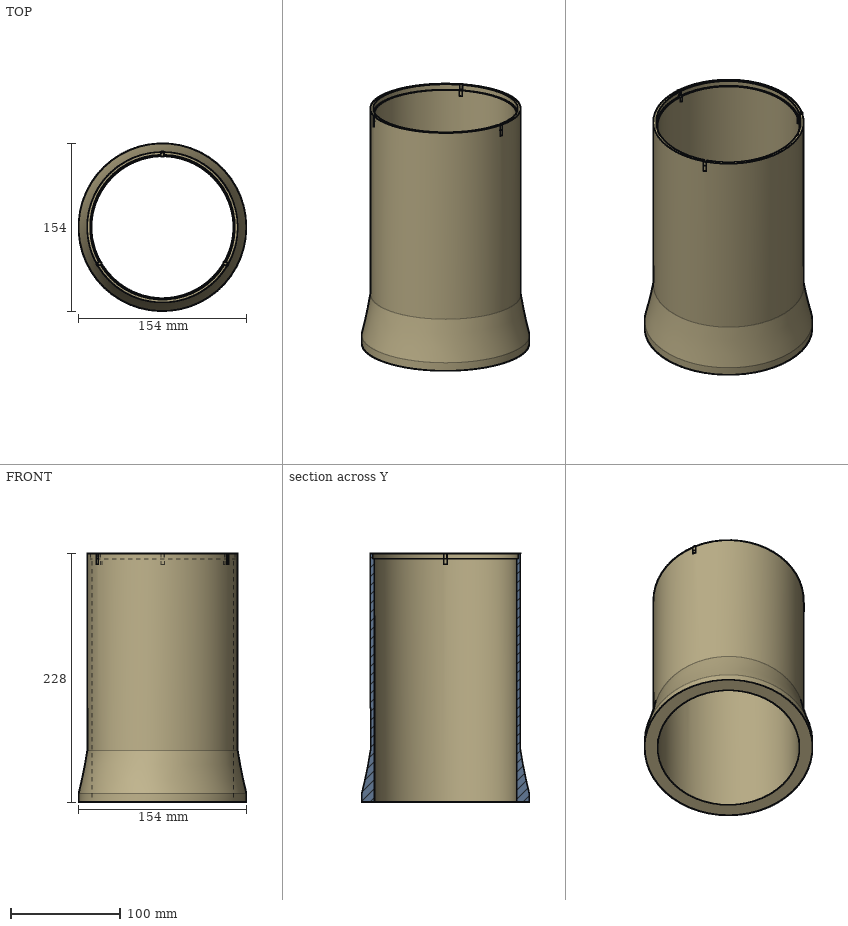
import cadquery as cq

height = 228.0
tube_radius = 138.0 / 2
bore_radius = 130.0 / 2

foot_radius = 154.0 / 2
foot_band_height = 8.2
flare_top = 47.7
flare_sag = 0.5

recess_radius = 66.3
recess_depth = 5.0

socket_count = 3
first_socket_angle = 90.0
socket_radius = 5.0 / 2
socket_height = 10.3
socket_hole_radius = 3.0 / 2
socket_center_radius = (tube_radius + bore_radius) / 2


def make_body():
    """Revolve the tube wall together with its flared foot and recessed rim."""
    flare_middle = (
        (foot_radius + tube_radius) / 2 - flare_sag,
        (foot_band_height + flare_top) / 2,
    )
    recess_floor = height - recess_depth
    profile = (
        cq.Workplane("XZ")
        .moveTo(bore_radius, 0)
        .lineTo(foot_radius, 0)
        .lineTo(foot_radius, foot_band_height)
        .threePointArc(flare_middle, (tube_radius, flare_top))
        .lineTo(tube_radius, height)
        .lineTo(recess_radius, height)
        .lineTo(recess_radius, recess_floor)
        .lineTo(bore_radius, recess_floor)
        .close()
    )
    return profile.revolve(360, (0, 0, 0), (0, 1, 0))


def socket_cylinders(radius, bottom, top):
    """Vertical cylinders at every socket position."""
    return (
        cq.Workplane("XY")
        .workplane(offset=bottom)
        .polarArray(socket_center_radius, first_socket_angle, 360, socket_count)
        .circle(radius)
        .extrude(top - bottom)
    )


def make_recess():
    """Disc that keeps the rim recess clear of the sockets."""
    floor = cq.Workplane("XY").workplane(offset=height - recess_depth)
    return floor.circle(recess_radius).extrude(recess_depth)


sockets = socket_cylinders(socket_radius, height - socket_height, height).cut(make_recess())
socket_holes = socket_cylinders(socket_hole_radius, height - recess_depth, height)
result = make_body().union(sockets).cut(socket_holes)